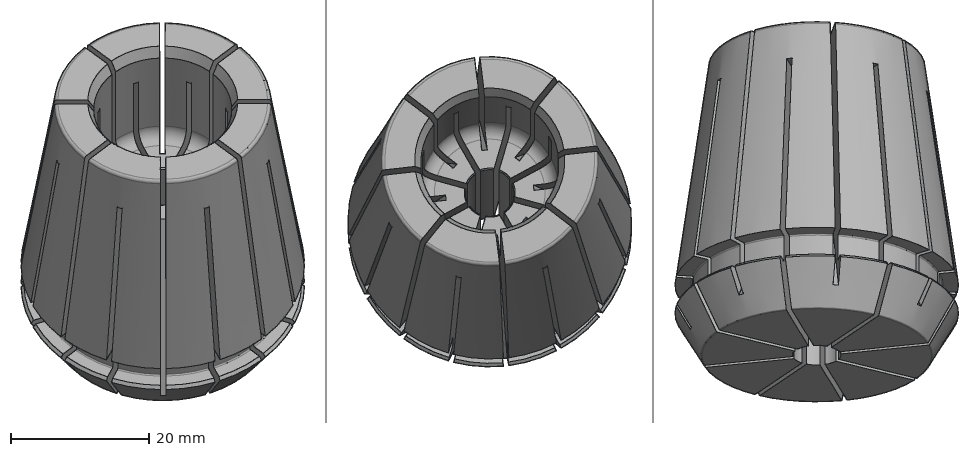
import cadquery as cq
import math

height = 46.0
max_radius = 20.5

main_cone_angle = 8.0
nose_cone_angle = 30.0
nose_top_z = 6.62
groove_bottom_z = 7.1
groove_top_z = 11.15
groove_radius = 18.12
rim_flat_radius = 20.1
top_fillet = 0.5
groove_fillet = 0.2
nose_fillet = 0.2

hole_radius = 3.5
hole_chamfer = 0.2
bore_radius = 10.0
bore_mouth_radius = 10.85
bore_mouth_depth = 1.6
bore_floor_fillet = 2.0

slot_count = 8
slot_width = 0.8
slot_outer_radius = max_radius + 0.45
lower_slot_top_z = 39.9
upper_slot_floor_angle = 64.0
upper_slot_outer_z = 3.05
upper_slot_inner_radius = 6.4


def nose_radius(z):
    """Radius of the nose cone at height z."""
    return max_radius - (nose_top_z - z) * math.tan(math.radians(nose_cone_angle))


def main_radius(z):
    """Radius of the clamping cone at height z."""
    return max_radius - (z - groove_top_z) * math.tan(math.radians(main_cone_angle))


def upper_slot_floor(radius):
    """Height of the sloping floor of an upper slot at a given radius."""
    run = nose_radius(upper_slot_outer_z) - radius
    return upper_slot_outer_z + run * math.tan(math.radians(upper_slot_floor_angle))


bore_floor_z = upper_slot_floor(upper_slot_inner_radius)


def is_groove_corner(circle):
    """Whether a circular edge lies at the bottom of the groove."""
    return math.isclose(circle.radius(), groove_radius)


def turned_body():
    """Collet without slots: its half section revolved about Z, then filleted."""
    fillet_center_r = bore_radius - bore_floor_fillet
    fillet_center_z = bore_floor_z + bore_floor_fillet
    fillet_mid_offset = bore_floor_fillet / math.sqrt(2)
    fillet_mid = (fillet_center_r + fillet_mid_offset, fillet_center_z - fillet_mid_offset)
    section = (
        cq.Workplane("XZ")
        .moveTo(hole_radius, 0)
        .lineTo(nose_radius(0), 0)
        .lineTo(max_radius, nose_top_z)
        .lineTo(rim_flat_radius, groove_bottom_z)
        .lineTo(groove_radius, groove_bottom_z)
        .lineTo(groove_radius, groove_top_z)
        .lineTo(max_radius, groove_top_z)
        .lineTo(main_radius(height), height)
        .lineTo(bore_mouth_radius, height)
        .lineTo(bore_radius, height - bore_mouth_depth)
        .lineTo(bore_radius, fillet_center_z)
        .threePointArc(fillet_mid, (fillet_center_r, bore_floor_z))
        .lineTo(hole_radius + hole_chamfer, bore_floor_z)
        .lineTo(hole_radius, bore_floor_z - hole_chamfer)
        .close()
    )
    body = section.revolve(360, (0, 0, 0), (0, 1, 0))
    outermost_edge = cq.selectors.RadiusNthSelector(-1)
    body = body.faces(">Z").edges(outermost_edge).fillet(top_fillet)
    body = body.faces("<Z").edges(outermost_edge).fillet(nose_fillet)
    return body.edges("%CIRCLE").filter(is_groove_corner).fillet(groove_fillet)


def radial_slot(points):
    """Slot cutter of slot_width from an outline given as (radius, z) points."""
    return cq.Workplane("XZ").polyline(points).close().extrude(slot_width / 2, both=True)


def lower_slot():
    """Slot open at the nose that stops short of the top face."""
    return radial_slot([
        (0, 0),
        (slot_outer_radius, 0),
        (slot_outer_radius, lower_slot_top_z),
        (0, lower_slot_top_z),
    ])


def upper_slot():
    """Slot open at the top face with a floor that falls outwards."""
    return radial_slot([
        (upper_slot_inner_radius, bore_floor_z),
        (slot_outer_radius, upper_slot_floor(slot_outer_radius)),
        (slot_outer_radius, height),
        (upper_slot_inner_radius, height),
    ])


def at_angle(slot, angle):
    """Slot cutter turned about Z by an angle in degrees."""
    return slot.rotate((0, 0, 0), (0, 0, 1), angle)


pitch_angle = 360 / slot_count
result = turned_body()
for i in range(slot_count):
    result = result.cut(at_angle(lower_slot(), i * pitch_angle))
    result = result.cut(at_angle(upper_slot(), (i + 0.5) * pitch_angle))